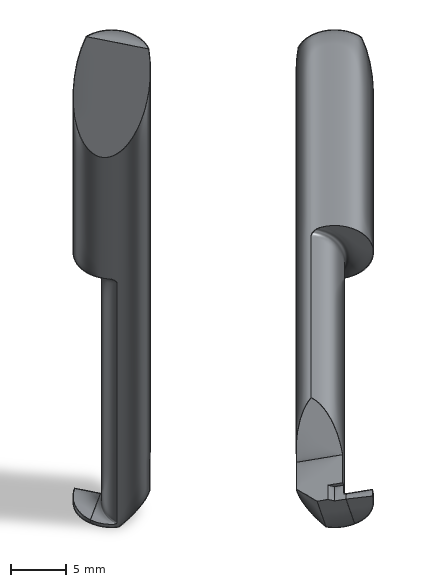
import cadquery as cq
import math

length = 55.5
shank_radius = 3.5
shank_bottom = 31.15
bevel_angle = 60.0
bevel_top_y = 1.9

neck_radius = 3.4
neck_left = -0.85
neck_axis_x = neck_left + neck_radius
neck_fillet = 0.65

bar_bottom = 0.15
flat_y = 0.35
flat_top = 5.45
corner_chamfer = 1.95

seam_x = -1.05
rake_y = 0.0
tip_height = 0.85
top_relief = 0.3
foot_fillet = 0.2

recess_top = 1.95
recess_floor_end = 0.0
recess_ramp_length = 0.55

bevel_slope = math.tan(math.radians(bevel_angle))
margin = 0.55


def cylinder(radius, bottom, top, axis_x=0.0):
    """Upright round bar between two heights."""
    return cq.Workplane("XY", origin=(axis_x, 0, bottom)).circle(radius).extrude(top - bottom)


def prism_along_x(points, start, end):
    """Extrude a (Y, Z) outline from one X position to another."""
    return cq.Workplane("YZ", origin=(start, 0, 0)).polyline(points).close().extrude(end - start)


def tip_disc(bottom):
    """Round plate behind the cutting face, with a sloping upper face."""
    profile = [
        (rake_y, bottom),
        (rake_y, tip_height),
        (-shank_radius, tip_height - top_relief),
        (-shank_radius, bottom),
    ]
    outline = cylinder(shank_radius, bottom, tip_height)
    return prism_along_x(profile, -shank_radius, shank_radius).intersect(outline)


def shank_bevel():
    """Wedge that slopes the front of the shank's upper end."""
    front = -shank_radius - margin
    back = bevel_top_y + margin
    top = length + margin * bevel_slope
    points = [
        (front, length - (bevel_top_y - front) * bevel_slope),
        (back, top),
        (front, top),
    ]
    return prism_along_x(points, -shank_radius - margin, shank_radius + margin)


def neck_relief():
    """Material around the neck, with a rounded transition to the shank."""
    neck = cylinder(neck_radius, 0, shank_bottom, neck_axis_x)
    flare_radius = neck_radius + neck_fillet
    flare_bottom = shank_bottom - neck_fillet
    middle_offset = neck_fillet * math.sqrt(0.5)
    flare = (
        cq.Workplane("XZ")
        .moveTo(0, flare_bottom)
        .lineTo(neck_radius, flare_bottom)
        .threePointArc(
            (flare_radius - middle_offset, flare_bottom + middle_offset),
            (flare_radius, shank_bottom),
        )
        .lineTo(0, shank_bottom)
        .close()
        .revolve(360, (0, 0, 0), (0, 1, 0))
        .translate((neck_axis_x, 0, 0))
    )
    surround = cylinder(shank_radius + margin, 0, shank_bottom)
    return surround.cut(neck).cut(flare)


def back_flat():
    """Flat on the lower neck and the long bevel that leads into it."""
    back = shank_radius + margin
    points = [
        (flat_y, -margin),
        (flat_y, flat_top),
        (back, flat_top + (back - flat_y) * bevel_slope),
        (back, -margin),
    ]
    return prism_along_x(points, -shank_radius - margin, shank_radius + margin)


def bottom_corner():
    """Triangular prism that bevels the lower +X corner at 45 degrees."""
    leg = corner_chamfer + 2 * margin
    edge_x = shank_radius + margin
    low = bar_bottom - margin
    points = [(edge_x, low), (edge_x - leg, low), (edge_x, low + leg)]
    return (
        cq.Workplane("XZ")
        .polyline(points)
        .close()
        .extrude(shank_radius + margin, both=True)
    )


def chip_recess():
    """Shallow recess behind the cutting face, ending in a ramp."""
    run = recess_floor_end + recess_ramp_length
    start = neck_left - margin
    points = [(start, rake_y), (recess_floor_end, rake_y), (run, flat_y), (start, flat_y)]
    return cq.Workplane("XY").polyline(points).close().extrude(recess_top)


def bit_seat():
    """Space in front of the seam, where the bit joins the foot."""
    reach = shank_radius + margin
    points = [(-reach, 0), (-reach, tip_height), (reach, tip_height), (reach, 0)]
    return prism_along_x(points, -reach, seam_x)


def foot_corner():
    """Box holding the foot rim and, above it, the inside corner at the neck."""
    return cq.selectors.BoxSelector(
        (neck_left, -shank_radius, tip_height - top_relief),
        (shank_radius, rake_y, tip_height),
    )


def make_bar():
    bar = cylinder(shank_radius, bar_bottom, length)
    bar = bar.cut(shank_bevel()).cut(neck_relief()).cut(back_flat()).cut(chip_recess())
    bar = bar.union(tip_disc(bar_bottom))
    bar = bar.edges(foot_corner()).edges(">Z").fillet(foot_fillet)
    return bar.cut(bit_seat()).cut(bottom_corner())


def make_cutting_bit():
    """Plate whose lower face drops from the seam to the outermost cutting corner."""
    side = [
        (-shank_radius, 0),
        (seam_x, bar_bottom),
        (seam_x, tip_height),
        (-shank_radius, tip_height),
    ]
    envelope = cq.Workplane("XZ").polyline(side).close().extrude(shank_radius)
    return tip_disc(0).intersect(envelope)


bar = make_bar()
cutting_bit = make_cutting_bit()
result = cq.Compound.makeCompound([bar.val(), cutting_bit.val()])